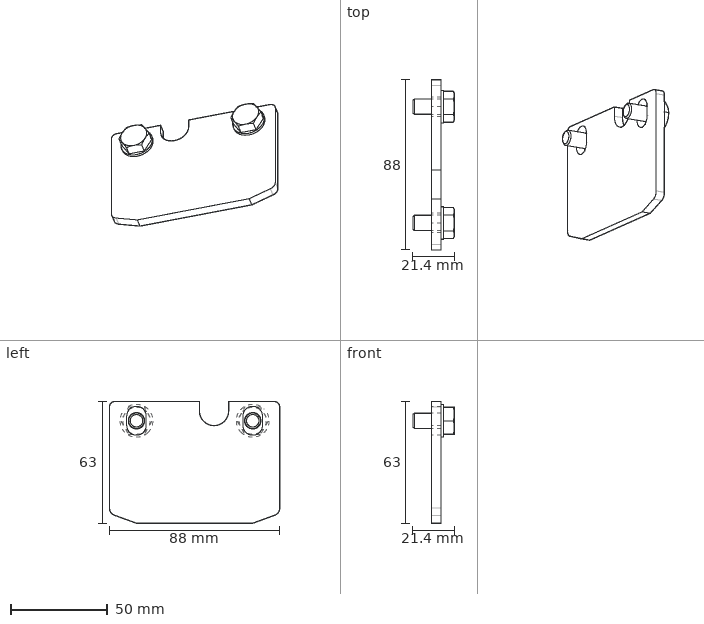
import cadquery as cq
import math

plate_length = 88.0
plate_height = 63.0
plate_thickness = 5.0
top_corner_radius = 3.0
bottom_corner_radius = 4.0
bevel_length = 14.0
bevel_angle = 20.0
bevel_rise = bevel_length * math.tan(math.radians(bevel_angle))

notch_width = 15.0
notch_depth = 12.5
notch_y = -10.0

bolt_spacing = 60.0
bolt_drop = 10.0
slot_width = 10.0
slot_height = 15.0

washer_diameter = 17.0
washer_bore = 8.45
washer_thickness = 1.3

shank_diameter = 8.0
shank_projection = 9.6
shank_chamfer = 0.8
head_across_flats = 14.0
head_thickness = 5.5
head_chamfer_angle = 30.0

half_length = plate_length / 2
bolt_z = plate_height - bolt_drop
bolt_centres = [(bolt_spacing / 2, bolt_z), (-bolt_spacing / 2, bolt_z)]
head_start = plate_thickness + washer_thickness


def make_plate():
    """Plate with bevelled bottom corners, rounded corners, notch and slots."""
    body = (
        cq.Workplane("YZ")
        .moveTo(-half_length, plate_height)
        .lineTo(-half_length, bevel_rise)
        .lineTo(-half_length + bevel_length, 0)
        .lineTo(half_length - bevel_length, 0)
        .lineTo(half_length, bevel_rise)
        .lineTo(half_length, plate_height)
        .close()
        .extrude(plate_thickness)
    )
    body = body.edges("|X and (<Y or >Y)").edges(">Z").fillet(top_corner_radius)
    body = body.edges("|X and (<Y or >Y)").edges("<Z").fillet(bottom_corner_radius)

    notch_radius = notch_width / 2
    notch_centre_z = plate_height - notch_depth + notch_radius
    notch = (
        cq.Workplane("YZ")
        .moveTo(notch_y - notch_radius, plate_height)
        .lineTo(notch_y - notch_radius, notch_centre_z)
        .threePointArc((notch_y, plate_height - notch_depth), (notch_y + notch_radius, notch_centre_z))
        .lineTo(notch_y + notch_radius, plate_height)
        .close()
        .extrude(plate_thickness)
    )
    slots = (
        cq.Workplane("YZ")
        .pushPoints(bolt_centres)
        .slot2D(slot_height, slot_width, 90)
        .extrude(plate_thickness)
    )
    return body.cut(notch).cut(slots)


def make_washer(y, z):
    """Flat washer on the back face of the plate."""
    return (
        cq.Workplane("YZ", origin=(plate_thickness, y, z))
        .circle(washer_diameter / 2)
        .circle(washer_bore / 2)
        .extrude(washer_thickness)
    )


def make_bolt(y, z):
    """Bolt with a chamfered shank tip and a hexagon head with flats facing up and down."""
    head_across_corners = head_across_flats / math.cos(math.pi / 6)
    head = (
        cq.Workplane("YZ", origin=(head_start, y, z))
        .polygon(6, head_across_corners)
        .extrude(head_thickness)
    )
    chamfer_width = (head_across_corners - head_across_flats) / 2
    chamfer_depth = chamfer_width * math.tan(math.radians(head_chamfer_angle))
    cone_envelope = (
        cq.Workplane("YZ", origin=(head_start, y, z))
        .circle(head_across_corners / 2)
        .extrude(head_thickness)
        .faces(">X")
        .chamfer(chamfer_depth, chamfer_width)
    )
    shank = (
        cq.Workplane("YZ", origin=(-shank_projection, y, z))
        .circle(shank_diameter / 2)
        .extrude(shank_projection + head_start)
        .faces("<X")
        .chamfer(shank_chamfer)
    )
    return head.intersect(cone_envelope).union(shank)


plate = make_plate()
washers = [make_washer(y, z) for y, z in bolt_centres]
bolts = [make_bolt(y, z) for y, z in bolt_centres]

result = cq.Compound.makeCompound(
    [plate.val(), *[washer.val() for washer in washers], *[bolt.val() for bolt in bolts]]
)